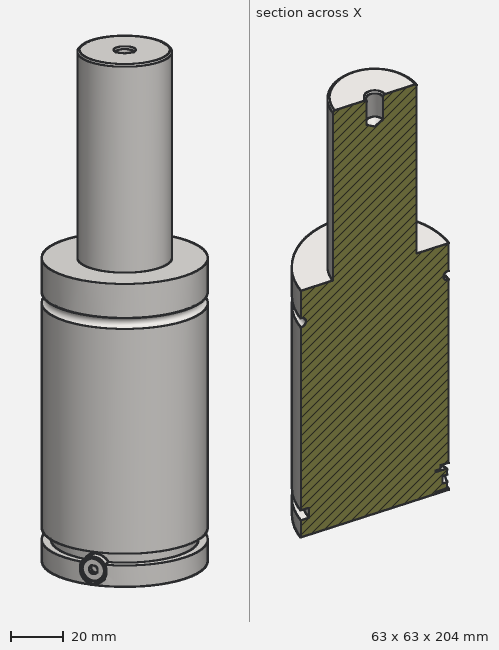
import cadquery as cq
import math

height = 204.0
body_radius = 63.0 / 2
body_top = 121.0

collar_groove_top = 107.3
collar_groove_bottom = 103.0
collar_groove_depth = (collar_groove_top - collar_groove_bottom) / 2

mount_groove_top = 13.3
mount_groove_bottom = 8.5
mount_groove_radius = 56.0 / 2

rod_radius = 36.0 / 2
rod_chamfer = 0.8
bore_diameter = 6.7
bore_mouth_diameter = 8.4
bore_depth = 12.2
bore_tip_angle = 118.0

port_bore_diameter = 11.0
plug_diameter = 10.0
plug_chamfer = 0.6
port_hole_diameter = 3.5
port_hole_depth = 2.0
port_height = 6.0
port_face = body_radius - 0.6
port_root = mount_groove_radius - 2.0


def make_body():
    """Revolve the stepped outline of the body and rod about Z."""
    groove_middle = (collar_groove_top + collar_groove_bottom) / 2
    outline = (
        cq.Workplane("XZ")
        .moveTo(0, 0)
        .lineTo(body_radius, 0)
        .lineTo(body_radius, mount_groove_bottom)
        .lineTo(mount_groove_radius, mount_groove_bottom)
        .lineTo(mount_groove_radius, mount_groove_top)
        .lineTo(body_radius, mount_groove_top)
        .lineTo(body_radius, collar_groove_bottom)
        .threePointArc(
            (body_radius - collar_groove_depth, groove_middle),
            (body_radius, collar_groove_top),
        )
        .lineTo(body_radius, body_top)
        .lineTo(rod_radius, body_top)
        .lineTo(rod_radius, height - rod_chamfer)
        .lineTo(rod_radius - rod_chamfer, height)
        .lineTo(0, height)
        .close()
    )
    return outline.revolve(360, (0, 0, 0), (0, 1, 0))


def make_rod_bore():
    """Drilled hole with a chamfered mouth and a conical tip."""
    radius = bore_diameter / 2
    mouth_radius = bore_mouth_diameter / 2
    floor = height - bore_depth
    tip = floor - radius / math.tan(math.radians(bore_tip_angle / 2))
    outline = (
        cq.Workplane("XZ")
        .moveTo(0, tip)
        .lineTo(radius, floor)
        .lineTo(radius, height - (mouth_radius - radius))
        .lineTo(mouth_radius, height)
        .lineTo(0, height)
        .close()
    )
    return outline.revolve(360, (0, 0, 0), (0, 1, 0))


def port_disc(diameter, inner, outer):
    """Disc on the port axis between two distances from the Z axis."""
    return (
        cq.Workplane("XZ", origin=(0, -inner, port_height))
        .circle(diameter / 2)
        .extrude(outer - inner)
    )


def add_port(part):
    """Bore the port, stand the chamfered plug in it with a ring gap, and drill the plug."""
    part = part.cut(port_disc(port_bore_diameter, port_root, body_radius))
    plug = port_disc(plug_diameter, port_root, port_face).faces("<Y").edges().chamfer(plug_chamfer)
    hole = port_disc(port_hole_diameter, port_face - port_hole_depth, port_face)
    return part.union(plug).cut(hole)


result = add_port(make_body().cut(make_rod_bore()))